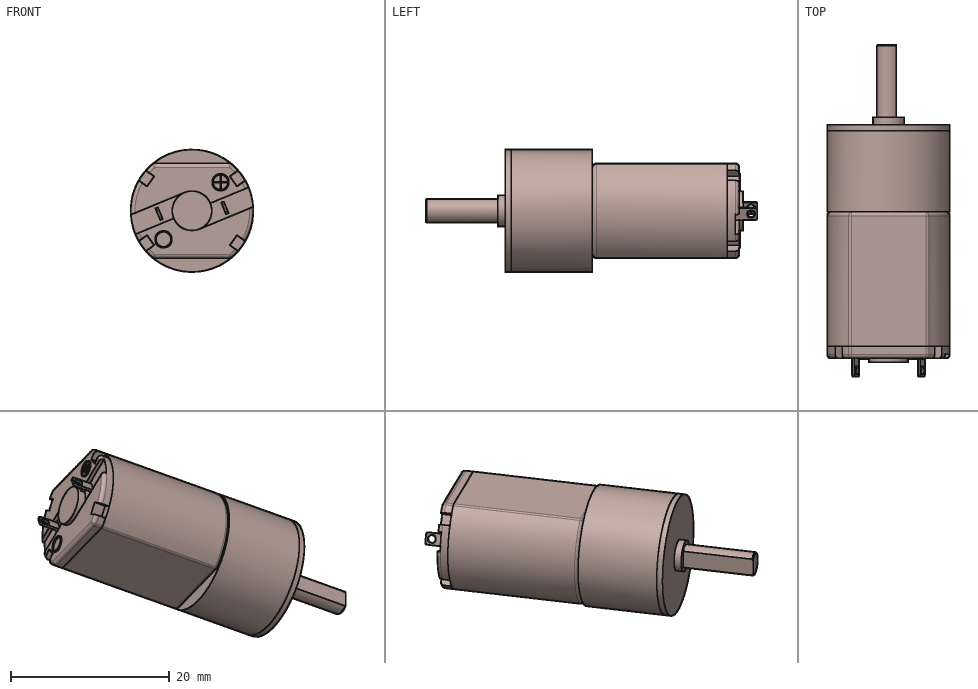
import cadquery as cq


body_diameter = 15.5
gearbox_length = 11.0
front_plate_thickness = 0.75
boss_diameter = 4.0
boss_height = 0.92
shaft_diameter = 3.0
shaft_length = 9.15
shaft_flat_distance = 1.0
shaft_tip_chamfer = 0.13

can_length = 17.0
cap_thickness = 1.5
across_flats = 12.0
edge_radius = 0.5
notch_width = 1.55
notch_floor_distance = 6.4
notch_angle = 35.4

bearing_diameter = 5.0
bearing_height = 0.5
slot_depth = edge_radius
slot_width = bearing_diameter / 2
slot_angle = 22.5
slot_count = 2

terminal_width = 1.6
terminal_thickness = 0.35
terminal_projection = 2.3
terminal_distance = 4.0
terminal_hole_diameter = 1.0
terminal_hole_to_tip = 0.8
terminal_corner_radius = 0.3

mark_outer_diameter = 2.15
mark_inner_diameter = 1.9
mark_offset = 3.6
mark_height = 0.13
mark_line_width = (mark_outer_diameter - mark_inner_diameter) / 2

gearbox_front = gearbox_length
plate_back = gearbox_front - front_plate_thickness
boss_front = gearbox_front + boss_height
can_back = -can_length
cap_back = can_back - cap_thickness
slot_floor = cap_back + slot_depth
terminal_tip = cap_back - terminal_projection


def plane_at(y):
    """XZ plane at height y, whose extrusions run toward -Y."""
    return cq.Workplane("XZ", origin=(0, y, 0))


def cylinder(diameter, y_front, y_back):
    return plane_at(y_front).circle(diameter / 2).extrude(y_front - y_back)


def flattened_cylinder(y_front, y_back):
    """Motor outline: a cylinder with flats on +Z and -Z and rounded corners between."""
    length = y_front - y_back
    flats = plane_at(y_front).rect(body_diameter, across_flats).extrude(length)
    return cylinder(body_diameter, y_front, y_back).intersect(flats).edges("|Y").fillet(edge_radius)


def make_shaft():
    shaft = cylinder(shaft_diameter, boss_front + shaft_length, boss_front)
    shaft = shaft.faces(">Y").chamfer(shaft_tip_chamfer)
    flat_cutter = (
        plane_at(boss_front + shaft_length)
        .center(shaft_flat_distance + shaft_diameter / 2, 0)
        .rect(shaft_diameter, shaft_diameter)
        .extrude(shaft_length)
    )
    return shaft.cut(flat_cutter)


def make_can():
    return flattened_cylinder(0, can_back).faces(">Y").edges().fillet(edge_radius)


def cut_notches(cap):
    notch_depth = body_diameter / 2 - notch_floor_distance
    for angle in (notch_angle, 180 - notch_angle, 180 + notch_angle, -notch_angle):
        notch = (
            plane_at(can_back)
            .transformed(rotate=(0, 0, angle))
            .center(notch_floor_distance + notch_depth, 0)
            .rect(2 * notch_depth, notch_width)
            .extrude(cap_thickness)
        )
        cap = cap.cut(notch)
    return cap


def cut_bearing_seat_and_slots(cap):
    cap = cap.cut(cylinder(bearing_diameter, slot_floor, cap_back))
    slot_length = body_diameter / 2
    for index in range(slot_count):
        slot = (
            plane_at(slot_floor)
            .transformed(rotate=(0, 0, slot_angle + index * 360 / slot_count))
            .center(slot_length / 2, -slot_width / 2)
            .rect(slot_length, slot_width)
            .extrude(slot_depth)
        )
        cap = cap.cut(slot)
    return cap


def make_mark_ring(x, z):
    return (
        plane_at(cap_back)
        .center(x, z)
        .circle(mark_outer_diameter / 2)
        .circle(mark_inner_diameter / 2)
        .extrude(mark_height)
    )


def make_plus_bars(x, z):
    bar_length = (mark_outer_diameter + mark_inner_diameter) / 2
    bar_plane = plane_at(cap_back).center(x, z)
    horizontal = bar_plane.rect(bar_length, mark_line_width).extrude(mark_height)
    vertical = bar_plane.rect(mark_line_width, bar_length).extrude(mark_height)
    return horizontal.union(vertical)


def make_end_cap():
    cap = flattened_cylinder(can_back, cap_back).faces("<Y").edges().fillet(edge_radius)
    cap = cut_notches(cap)
    cap = cut_bearing_seat_and_slots(cap)
    cap = cap.union(make_mark_ring(-mark_offset, -mark_offset))
    cap = cap.union(make_mark_ring(mark_offset, mark_offset))
    return cap.union(make_plus_bars(mark_offset, mark_offset))


def make_terminal(angle):
    """Flat solder tab standing on the slot floor, across the slot."""
    length = slot_floor - terminal_tip
    tab = (
        plane_at(slot_floor)
        .center(terminal_distance, -slot_width / 2)
        .rect(terminal_thickness, terminal_width)
        .extrude(length)
        .faces("<Y")
        .edges("|X")
        .fillet(terminal_corner_radius)
    )
    hole = (
        cq.Workplane("YZ", origin=(terminal_distance - terminal_thickness, 0, 0))
        .center(terminal_tip + terminal_hole_to_tip, -slot_width / 2)
        .circle(terminal_hole_diameter / 2)
        .extrude(2 * terminal_thickness)
    )
    return tab.cut(hole).rotate((0, 0, 0), (0, 1, 0), -angle)


shaft = make_shaft()
boss = cylinder(boss_diameter, boss_front, gearbox_front)
front_plate = cylinder(body_diameter, gearbox_front, plate_back)
gearbox = cylinder(body_diameter, plate_back, 0)
can = make_can()
end_cap = make_end_cap()
bearing = cylinder(bearing_diameter, slot_floor, cap_back - bearing_height)
terminals = [make_terminal(slot_angle + index * 360 / slot_count) for index in range(slot_count)]

result = cq.Compound.makeCompound([
    shaft.val(),
    boss.val(),
    front_plate.val(),
    gearbox.val(),
    can.val(),
    end_cap.val(),
    bearing.val(),
    *[terminal.val() for terminal in terminals],
])